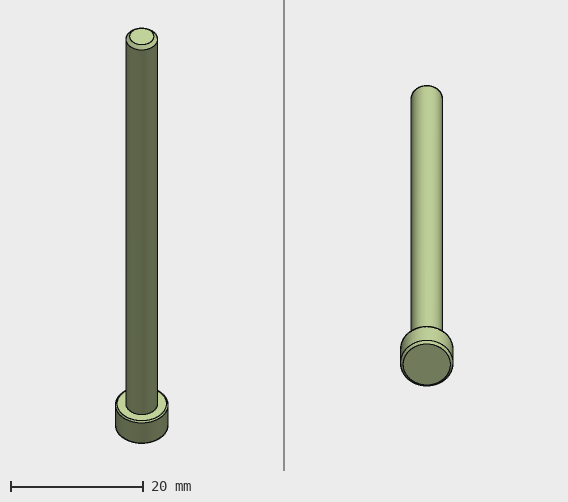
import cadquery as cq

total_length = 81.0

head_diameter = 7.95
head_height = 4.9
head_top_chamfer = 0.25
head_bottom_chamfer = 0.4

shank_diameter = 4.8
shank_length = total_length - head_height
tip_chamfer = 0.6


def make_head():
    """Cylindrical head with a chamfer on both rims."""
    head = cq.Workplane("XY").circle(head_diameter / 2).extrude(head_height)
    head = head.faces(">Z").chamfer(head_top_chamfer)
    return head.faces("<Z").chamfer(head_bottom_chamfer)


def make_shank():
    """Plain round shank with a chamfered tip."""
    shank = (
        cq.Workplane("XY")
        .workplane(offset=head_height)
        .circle(shank_diameter / 2)
        .extrude(shank_length)
    )
    return shank.faces(">Z").chamfer(tip_chamfer)


result = make_head().union(make_shank())